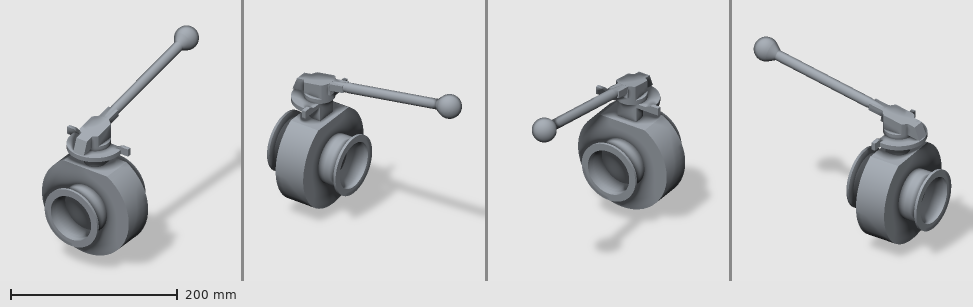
import cadquery as cq
import math

HOUSING_R = 63.98
HOUSING_WIDTH = 40.2
HOUSING_TOP_Z = 55.5
TUBE_LENGTH = 100.0
TUBE_OD = 63.5
BORE_D = 59.5
FLANGE_OD = 77.5
RIM_THICKNESS = 3.3
FLANGE_TAPER = 2.5

NECK_R = 13.5
PLATE_R = 34.3
PLATE_BOTTOM_Z = 75.5
PLATE_TOP_Z = 81.5
PLATE_BACK_Y = 10.2
TAB_REACH = 44.8
TAB_TOP_Z = 85.5
TAB_THICKNESS = 5.0
TAB_SLOPE_RUN = 7.5

HEAD_D = 38.0
HEAD_FLAT_WIDTH = 28.2
COLLAR_TOP_Z = 87.8
HEAD_TOP = 4.8
BAR_WIDTH = 15.5
BAR_DEPTH = 15.5
BAR_BACK = 19.5
BAR_NOSE_TOP = -27.2
BAR_NOSE_BOTTOM = -36.6

LEVER_TILT = 10.0
LEVER_AXIS_Z = 100.0
ROD_D = 13.0
TENON_WIDTH = 14.2
TENON_HEIGHT = 9.2
TENON_END = 39.0
ROD_TAPER_START = 44.8
HEAD_CLEARANCE = 76.3

BALL_R = 15.0
LEVER_REACH_Y = 204.42
CONE_START_R = 12.7
CONE_LENGTH = 9.2
SLEEVE_LENGTH = 4.8

ball_center = (LEVER_REACH_Y - BALL_R) / math.cos(math.radians(LEVER_TILT))
cone_start = ball_center - math.sqrt(BALL_R**2 - CONE_START_R**2)
sleeve_start = cone_start - CONE_LENGTH
knob_end = sleeve_start - SLEEVE_LENGTH


def cylinder_y(diameter, length):
    """Cylinder along Y, centred on the origin."""
    return cq.Workplane("XZ").circle(diameter / 2).extrude(length / 2, both=True)


def half_round(radius, bottom_z, top_z):
    """Upright slab with a half-round front and straight sides to the flat back."""
    return (
        cq.Workplane("XY", origin=(0, 0, bottom_z))
        .moveTo(-radius, PLATE_BACK_Y)
        .lineTo(-radius, 0)
        .threePointArc((0, -radius), (radius, 0))
        .lineTo(radius, PLATE_BACK_Y)
        .close()
        .extrude(top_z - bottom_z)
    )


def on_lever(shape):
    """Move a shape built along Y onto the tilted lever axis."""
    return shape.rotate((0, 0, 0), (1, 0, 0), LEVER_TILT).translate((0, 0, LEVER_AXIS_Z))


def make_flanged_tube():
    end = TUBE_LENGTH / 2
    rim = end - RIM_THICKNESS
    taper = rim - FLANGE_TAPER
    profile = [
        (0, -end), (FLANGE_OD / 2, -end), (FLANGE_OD / 2, -rim), (TUBE_OD / 2, -taper),
        (TUBE_OD / 2, taper), (FLANGE_OD / 2, rim), (FLANGE_OD / 2, end), (0, end),
    ]
    return cq.Workplane("XY").polyline(profile).close().revolve(360, (0, 0, 0), (0, 1, 0))


def make_tab(side):
    """Stop tab standing at the back of the plate on one side (+1 or -1)."""
    profile = [
        (0, PLATE_BOTTOM_Z), (TAB_REACH, PLATE_BOTTOM_Z), (TAB_REACH, TAB_TOP_Z),
        (PLATE_R, TAB_TOP_Z), (PLATE_R - TAB_SLOPE_RUN, PLATE_TOP_Z), (0, PLATE_TOP_Z),
    ]
    return (
        cq.Workplane("XZ", origin=(0, PLATE_BACK_Y, 0))
        .polyline([(side * x, z) for x, z in profile])
        .close()
        .extrude(TAB_THICKNESS)
    )


def make_housing():
    body = cylinder_y(2 * HOUSING_R, HOUSING_WIDTH)
    height = HOUSING_R + HOUSING_TOP_Z
    below_flat = cq.Workplane("XY", origin=(0, 0, -HOUSING_R)).box(
        2 * HOUSING_R, HOUSING_WIDTH, height, centered=(True, True, False)
    )
    body = body.intersect(below_flat).union(make_flanged_tube())
    body = body.union(half_round(NECK_R, HOUSING_TOP_Z, PLATE_BOTTOM_Z))
    body = body.union(half_round(PLATE_R, PLATE_BOTTOM_Z, PLATE_TOP_Z))
    for side in (-1, 1):
        body = body.union(make_tab(side))
    return body.cut(cylinder_y(BORE_D, TUBE_LENGTH))


def make_disc():
    """Closing disc that fills the bore across the width of the housing."""
    return cylinder_y(BORE_D, HOUSING_WIDTH)


def make_head():
    """Round collar, flat-sided block with a sloping top, and the tilted bar through it."""
    collar = cq.Workplane("XY", origin=(0, 0, PLATE_TOP_Z)).circle(HEAD_D / 2).extrude(
        COLLAR_TOP_Z - PLATE_TOP_Z
    )
    block = cq.Workplane("XY", origin=(0, 0, COLLAR_TOP_Z)).circle(HEAD_D / 2).extrude(HEAD_D)
    sides = cq.Workplane("XY", origin=(0, 0, COLLAR_TOP_Z)).box(
        HEAD_FLAT_WIDTH, HEAD_D, HEAD_D, centered=(True, True, False)
    )
    above = cq.Workplane("XY", origin=(0, 0, HEAD_TOP)).box(
        HEAD_CLEARANCE, HEAD_CLEARANCE, HEAD_CLEARANCE, centered=(True, True, False)
    )
    bar = (
        cq.Workplane("YZ")
        .polyline([
            (BAR_BACK, HEAD_TOP), (BAR_NOSE_TOP, HEAD_TOP),
            (BAR_NOSE_BOTTOM, HEAD_TOP - BAR_DEPTH), (BAR_BACK, HEAD_TOP - BAR_DEPTH),
        ])
        .close()
        .extrude(BAR_WIDTH / 2, both=True)
    )
    return collar.union(block.intersect(sides).cut(on_lever(above))).union(on_lever(bar))


def make_rod():
    """Round rod whose lower end tapers into a rectangular tenon."""
    rod = (
        cq.Workplane("XY")
        .polyline([
            (0, BAR_BACK), (TENON_HEIGHT / 2, BAR_BACK), (ROD_D / 2, ROD_TAPER_START),
            (ROD_D / 2, knob_end), (0, knob_end),
        ])
        .close()
        .revolve(360, (0, 0, 0), (0, 1, 0))
    )
    tenon = cq.Workplane("XY", origin=(0, BAR_BACK, 0)).box(
        TENON_WIDTH, TENON_END - BAR_BACK, TENON_HEIGHT, centered=(True, False, True)
    )
    return on_lever(rod.union(tenon))


def make_handle():
    return make_head().union(make_rod())


def make_knob():
    knob = (
        cq.Workplane("XY")
        .moveTo(0, knob_end)
        .lineTo(ROD_D / 2, knob_end)
        .lineTo(ROD_D / 2, sleeve_start)
        .lineTo(CONE_START_R, cone_start)
        .threePointArc((BALL_R, ball_center), (0, ball_center + BALL_R))
        .close()
        .revolve(360, (0, 0, 0), (0, 1, 0))
    )
    return on_lever(knob)


housing = make_housing()
disc = make_disc()
handle = make_handle()
knob = make_knob()

result = cq.Compound.makeCompound([housing.val(), disc.val(), handle.val(), knob.val()])